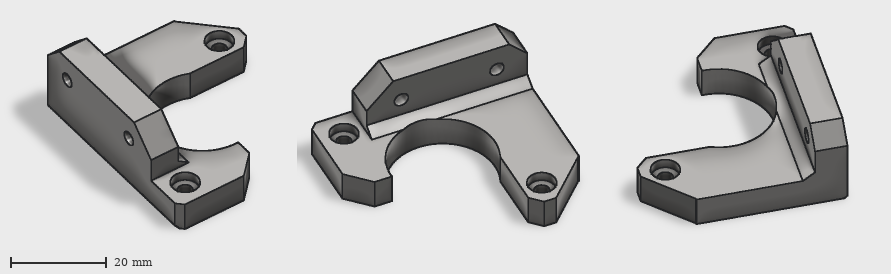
import cadquery as cq
import math

length = 47.0
depth = 42.0
height = 19.0

thickness = 7.0
tab_depth = 21.6
arm_width = 15.0
wall_length = 37.0

bore_x = 26.0
bore_y = 21.0
bore_radius = 12.0
bolt_spacing = 31.0
bolt_diameter = 3.3
counterbore_diameter = 6.2
counterbore_depth = 2.2

wall_hole_diameter = 3.2
wall_hole_x = 7.0
wall_hole_spacing = 22.0
wall_hole_z = 13.0

arm_outer_cut = 9.4
arm_facet_length = 0.35
arm_facet_rise = 0.15
arm_inner_cut = 2.5
tab_back_cut = 5.05
tab_front_cut = 1.5
wall_left_cut = 4.2
wall_right_cut = 6.1
bottom_edge_cut = 0.65

gusset_depth = 2.65
gusset_angle = 35.0
gusset_height = gusset_depth * math.tan(math.radians(gusset_angle))


def base_plate():
    """L-shaped plate with bevelled corners; the bore is cut later."""
    outline = [
        (0, 0),
        (length - tab_front_cut, 0),
        (length, tab_front_cut),
        (length, tab_depth - tab_back_cut),
        (length - tab_back_cut, tab_depth),
        (arm_width, tab_depth),
        (arm_width, depth - arm_inner_cut),
        (arm_width - arm_inner_cut, depth),
        (arm_facet_length + arm_outer_cut, depth),
        (arm_facet_length, depth - arm_outer_cut),
        (0, depth - arm_outer_cut - arm_facet_rise),
    ]
    return cq.Workplane("XY").polyline(outline).close().extrude(thickness)


def upright_wall():
    """Wall along the front edge with both top corners bevelled."""
    outline = [
        (0, 0),
        (wall_length, 0),
        (wall_length, height - wall_right_cut),
        (wall_length - wall_right_cut, height),
        (wall_left_cut, height),
        (0, height - wall_left_cut),
    ]
    return cq.Workplane("XZ").polyline(outline).close().extrude(-thickness)


def gusset():
    """Triangular strip filling the corner between plate and wall."""
    outline = [
        (thickness, thickness),
        (thickness + gusset_depth, thickness),
        (thickness, thickness + gusset_height),
    ]
    return cq.Workplane("YZ").polyline(outline).close().extrude(wall_length)


def bore():
    """Round motor opening through the plate and the gusset."""
    return cq.Workplane("XY").center(bore_x, bore_y).circle(bore_radius).extrude(height)


def bolt_hole(x, y):
    """Vertical through hole with a counterbore in the plate's top face."""
    plane = cq.Workplane("XY").center(x, y)
    through = plane.circle(bolt_diameter / 2).extrude(thickness)
    head = (
        plane.workplane(offset=thickness - counterbore_depth)
        .circle(counterbore_diameter / 2)
        .extrude(counterbore_depth)
    )
    return through.union(head)


def wall_hole(x):
    """Horizontal through hole in the upright wall."""
    return cq.Workplane("XZ").center(x, wall_hole_z).circle(wall_hole_diameter / 2).extrude(-thickness)


def bottom_edge_bevel():
    """Wedge that bevels the lower front edge over the full length."""
    outline = [(0, 0), (bottom_edge_cut, 0), (0, bottom_edge_cut)]
    return cq.Workplane("YZ").polyline(outline).close().extrude(length)


result = base_plate().union(upright_wall()).union(gusset()).cut(bore())

half_spacing = bolt_spacing / 2
for side in (-1, 1):
    result = result.cut(bolt_hole(bore_x + side * half_spacing, bore_y - side * half_spacing))

for index in range(2):
    result = result.cut(wall_hole(wall_hole_x + index * wall_hole_spacing))

result = result.cut(bottom_edge_bevel())